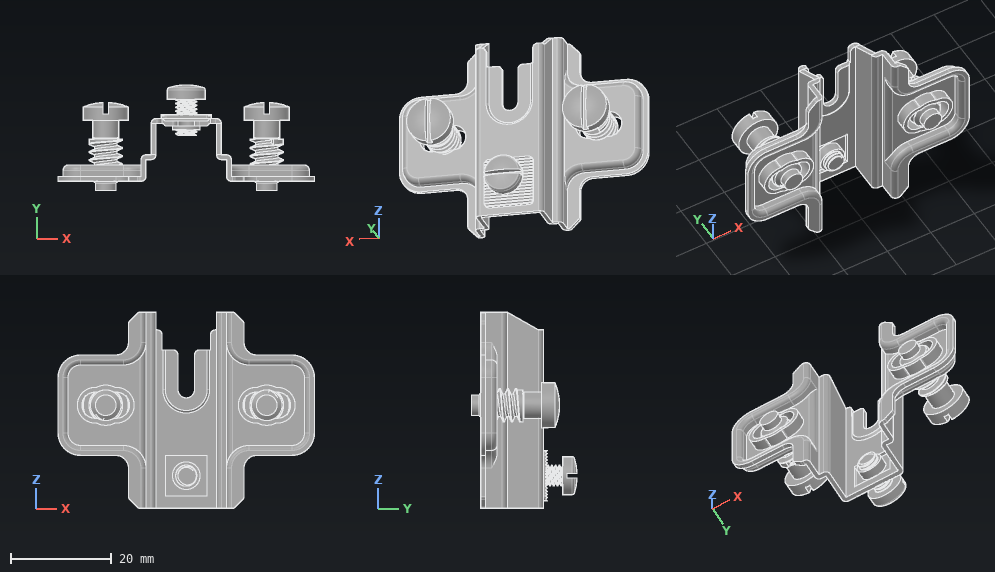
import cadquery as cq
import math

SHEET = 1.0
BEND = 1.0
Z_TOP = 18.5
Z_BOTTOM = -20.5
PLATE_LENGTH = Z_TOP - Z_BOTTOM

WING_REACH = 25.5
WING_HALF_HEIGHT = 10.0
STRIP_HALF_WIDTH = 11.5
WING_CORNER = 4.5
WING_ROOT = 2.5
STRIP_CHAMFER = 2.0
STRIP_CORNER = 0.8

LOWER_HALF = 9.0
STEP_Y = 5.3
UPPER_HALF = 7.0
WEB_Y = 12.5
WEB_INNER_Y = WEB_Y - SHEET
WEB_TOP_Z = 15.0

PANEL_MARGIN = 1.0
PANEL_TOP = 3.3
PANEL_FLOOR = PANEL_TOP - SHEET
PANEL_EDGE = 1.15
PANEL_REACH = WING_REACH - PANEL_MARGIN
PANEL_HALF_HEIGHT = WING_HALF_HEIGHT - PANEL_MARGIN
PANEL_CORNER = WING_CORNER - PANEL_MARGIN
PANEL_ROOT = 3.5

WING_SCREW_X = 16.0
SLOT_TRAVEL = 4.2
SLOT_RADIUS = 2.6
SLOT_SEAT_RADIUS = 3.05
SLOT_COLLAR_WALL = 0.95

TONGUE_TOP_Z = 11.0
TONGUE_CENTRE_Z = 3.1
TONGUE_RADIUS = 4.75
TONGUE_INNER_RADIUS = 4.65
TONGUE_SINK = 0.5
NOTCH_HALF_WIDTH = 4.8
FORK_RADIUS = 1.63
FORK_CORNER = 1.0

PAD_Z = -14.0
PAD_SIZE = 10.0
PAD_CORNER = 0.95
PAD_RISE = 0.75
PAD_RECESS_X = 8.2
PAD_RECESS_Z = 8.0
TOOTH_COUNT = 16
TOOTH_DEPTH = 0.3
PAD_COLLAR_RADIUS = 2.75
PAD_COLLAR_END_Y = 10.25

WING_TIP_Y = -1.85
WING_TIP_RADIUS = 2.05
WING_TAPER_START_Y = -0.3
WING_TAPER_END_Y = 0.4
WING_THREAD_RADIUS = 3.35
WING_ROOT_RADIUS = 2.25
WING_THREAD_END_Y = 8.4
WING_PITCH = 1.62
WING_RIDGE_WIDTH = 1.1
WING_CREST_WIDTH = 0.15
WING_RIDGE_START_Y = 0.6
WING_RUNOUT_Y = 7.15
WING_RUNOUT_ANGLE = -66.0
WING_RUNOUT_SWEEP = 245.0
WING_RUNOUT_RADIUS = 3.3
WING_SHANK_RADIUS = 2.6
WING_SHANK_Y = 8.63
WING_HEAD_RADIUS = 4.5
WING_HEAD_Y = 12.15
WING_HEAD_RIM_Y = 14.8
WING_HEAD_TOP_Y = 15.72
WING_SLOT_WIDTH = 1.0
WING_SLOT_DEPTH = 2.3

CENTRE_END_Y = 9.1
CENTRE_THREAD_RADIUS = 2.1
CENTRE_ROOT_RADIUS = 1.65
CENTRE_END_CHAMFER = 0.1
CENTRE_PITCH = 0.75
CENTRE_RIDGE_WIDTH = 0.55
CENTRE_CREST_WIDTH = 0.1
CENTRE_RIDGE_TOP_Y = 16.6
CENTRE_HEAD_RADIUS = 3.8
CENTRE_HEAD_Y = 16.3
CENTRE_HEAD_RIM_Y = 18.55
CENTRE_HEAD_TOP_Y = 19.205
CENTRE_HEAD_EDGE = 0.5
CENTRE_SLOT_WIDTH = 0.85
CENTRE_SLOT_DEPTH = 2.0

CLEAR = 2.0
RIDGE_SINK = 0.2


def box(x_range, y_range, z_range):
    """Box between the given limits."""
    limits = (x_range, y_range, z_range)
    sizes = [high - low for low, high in limits]
    return cq.Workplane("XY").box(*sizes, centered=False).translate([low for low, high in limits])


def along_y(sketch_z, y):
    """Workplane facing -Y, centred on (x = 0, z = sketch_z) at height y."""
    return cq.Workplane("XZ", origin=(0, y, sketch_z))


def cross_prism(strip_half, reach, half_height, corner, root, thickness, overshoot=0.0):
    """Cross of a long strip and two wings, from y = 0 to the thickness."""
    top = Z_TOP + overshoot
    bottom = Z_BOTTOM - overshoot
    strip = box((-strip_half, strip_half), (0, thickness), (bottom, top))
    wings = box((-reach, reach), (0, thickness), (-half_height, half_height))
    cross = strip.union(wings)
    mid = thickness / 2
    for x, radius in ((reach, corner), (strip_half, root)):
        for side_x in (-x, x):
            for z in (-half_height, half_height):
                nearest = cq.selectors.NearestToPointSelector((side_x, mid, z))
                cross = cross.edges("|Y").edges(nearest).fillet(radius)
    return cross


def base_plate():
    plate = cross_prism(STRIP_HALF_WIDTH, WING_REACH, WING_HALF_HEIGHT, WING_CORNER, WING_ROOT, SHEET)
    plate = plate.faces("<Z or >Z").edges("|Y").chamfer(STRIP_CHAMFER)
    inner_x = STRIP_HALF_WIDTH - STRIP_CHAMFER
    for x, inset in ((STRIP_HALF_WIDTH, STRIP_CHAMFER), (inner_x, 0)):
        for side_x in (-x, x):
            for z in (Z_BOTTOM + inset, Z_TOP - inset):
                nearest = cq.selectors.NearestToPointSelector((side_x, SHEET / 2, z))
                plate = plate.edges("|Y").edges(nearest).fillet(STRIP_CORNER)
    return plate


def hat_prism(lower_half, step_y, upper_half, top_y, bends):
    """Filled hat section over the full length, rounded at the given (x, y) bends."""
    lower = box((-lower_half, lower_half), (0, step_y), (Z_BOTTOM, Z_TOP))
    upper = box((-upper_half, upper_half), (0, top_y), (Z_BOTTOM, Z_TOP))
    hat = lower.union(upper)
    mid_z = (Z_TOP + Z_BOTTOM) / 2
    for x, y in bends:
        for side_x in (-x, x):
            nearest = cq.selectors.NearestToPointSelector((side_x, y, mid_z))
            hat = hat.edges("|Z").edges(nearest).fillet(BEND)
    return hat


def channel_outside():
    bends = ((LOWER_HALF, STEP_Y), (UPPER_HALF, WEB_Y))
    return hat_prism(LOWER_HALF, STEP_Y, UPPER_HALF, WEB_Y, bends)


def channel_inside():
    lower_half = LOWER_HALF - SHEET
    step_y = STEP_Y - SHEET
    upper_half = UPPER_HALF - SHEET
    return hat_prism(lower_half, step_y, upper_half, WEB_INNER_Y, ((upper_half, step_y),))


def raised_panels():
    panels = cross_prism(LOWER_HALF, PANEL_REACH, PANEL_HALF_HEIGHT, PANEL_CORNER, PANEL_ROOT, PANEL_TOP)
    return panels.faces(">Y").edges().fillet(PANEL_EDGE)


def panel_pocket(depth):
    """Mouth of the channel together with the hollows behind the panels."""
    return cross_prism(
        LOWER_HALF - SHEET,
        PANEL_REACH - SHEET,
        PANEL_HALF_HEIGHT - SHEET,
        PANEL_CORNER - SHEET,
        PANEL_ROOT + SHEET,
        depth,
        CLEAR,
    )


def mouth_rounding():
    """Material to remove so that the rear edge of the pocket becomes a bend."""
    wide_x = WING_REACH + CLEAR
    wide_z = (Z_BOTTOM - 2 * CLEAR, Z_TOP + 2 * CLEAR)
    depth = BEND + SHEET / 2
    block = box((-wide_x, wide_x), (0, depth), wide_z)
    inside = cq.selectors.BoxSelector(
        (-PANEL_REACH, -CLEAR, Z_BOTTOM - 1.5 * CLEAR),
        (PANEL_REACH, CLEAR, Z_TOP + 1.5 * CLEAR),
    )
    rounded = block.cut(panel_pocket(depth))
    rounded = rounded.faces("<Y").edges(inside).fillet(BEND)
    return block.cut(rounded)


def floor_rounding():
    """Material to remove where the panel floors bend into the channel walls."""
    wall = LOWER_HALF - SHEET
    radius = PANEL_EDGE
    corner = cq.Workplane("XY", origin=(0, 0, Z_BOTTOM)).polyline([
        (wall, PANEL_FLOOR),
        (wall + radius, PANEL_FLOOR),
        (wall + radius, PANEL_FLOOR + radius),
        (wall, PANEL_FLOOR + radius),
    ]).close().extrude(PLATE_LENGTH)
    rod = (
        cq.Workplane("XY", origin=(wall + radius, PANEL_FLOOR + radius, Z_BOTTOM))
        .circle(radius)
        .extrude(PLATE_LENGTH)
    )
    sliver = corner.cut(rod)
    return sliver.union(sliver.mirror("YZ")).intersect(panel_pocket(WEB_Y))


def slot_prism(x, growth, top_y):
    """Slot with a round seat in its middle, from y = 0 to top_y."""
    length = SLOT_TRAVEL + 2 * (SLOT_RADIUS + growth)
    plane = along_y(0, 0).center(x, 0)
    slot = plane.slot2D(length, 2 * (SLOT_RADIUS + growth)).extrude(-top_y)
    seat = plane.circle(SLOT_SEAT_RADIUS + growth).extrude(-top_y)
    return slot.union(seat)


def tongue_taper(radius, top_y):
    """U-shaped block tapering at 45 degrees from top_y down by the tongue's sink."""
    straight = WEB_TOP_Z - TONGUE_CENTRE_Z
    outline = (
        along_y(TONGUE_CENTRE_Z, top_y)
        .moveTo(-radius, straight)
        .lineTo(-radius, 0)
        .threePointArc((0, -radius), (radius, 0))
        .lineTo(radius, straight)
        .close()
    )
    return outline.extrude(TONGUE_SINK, taper=45)


def add_tongue(bracket):
    """Slope the wall ends, sink the tongue into the web and cut the fork."""
    slope = cq.Workplane("YZ", origin=(-WING_REACH, 0, 0)).polyline([
        (STEP_Y, Z_TOP),
        (WEB_INNER_Y, WEB_TOP_Z),
        (WEB_Y + CLEAR, WEB_TOP_Z),
        (WEB_Y + CLEAR, Z_TOP),
    ]).close().extrude(2 * WING_REACH)
    bracket = bracket.cut(slope)

    bracket = bracket.union(tongue_taper(TONGUE_INNER_RADIUS, WEB_INNER_Y))
    bracket = bracket.cut(tongue_taper(TONGUE_RADIUS, WEB_Y))

    web_range = (WEB_INNER_Y - CLEAR, WEB_Y + CLEAR)
    notch = box((-NOTCH_HALF_WIDTH, NOTCH_HALF_WIDTH), web_range, (TONGUE_TOP_Z, Z_TOP))
    fork_depth = WEB_Y - WEB_INNER_Y + 2 * CLEAR
    fork_end = along_y(TONGUE_CENTRE_Z, web_range[1]).circle(FORK_RADIUS).extrude(fork_depth)
    fork = box((-FORK_RADIUS, FORK_RADIUS), web_range, (TONGUE_CENTRE_Z, Z_TOP)).union(fork_end)
    bracket = bracket.cut(notch).cut(fork)

    web_mid = (WEB_Y + WEB_INNER_Y) / 2
    tongue_mid = web_mid - TONGUE_SINK
    for x, y, z in ((NOTCH_HALF_WIDTH, web_mid, WEB_TOP_Z), (FORK_RADIUS, tongue_mid, TONGUE_TOP_Z)):
        for side_x in (-x, x):
            nearest = cq.selectors.NearestToPointSelector((side_x, y, z))
            bracket = bracket.edges("|Y").edges(nearest).fillet(FORK_CORNER)
    return bracket


def add_pad(bracket):
    """Serrated square pressed out of the web, with a collar behind it."""
    top_y = WEB_Y + PAD_RISE
    pad = along_y(PAD_Z, top_y).rect(PAD_SIZE, PAD_SIZE).extrude(PAD_RISE).edges("|Y").fillet(PAD_CORNER)
    pitch = PAD_SIZE / TOOTH_COUNT
    for index in range(TOOTH_COUNT):
        z = PAD_Z - PAD_SIZE / 2 + (index + 0.5) * pitch
        valley = cq.Workplane("YZ", origin=(-PAD_SIZE, 0, 0)).polyline([
            (top_y, z - pitch / 2),
            (top_y - TOOTH_DEPTH, z),
            (top_y, z + pitch / 2),
        ]).close().extrude(2 * PAD_SIZE)
        pad = pad.cut(valley)
    recess = along_y(PAD_Z, WEB_INNER_Y).rect(PAD_RECESS_X, PAD_RECESS_Z).extrude(-PAD_RISE)
    recess_floor_y = WEB_INNER_Y + PAD_RISE
    collar_length = recess_floor_y - PAD_COLLAR_END_Y
    collar = along_y(PAD_Z, recess_floor_y).circle(PAD_COLLAR_RADIUS).extrude(collar_length)
    bore = along_y(PAD_Z, top_y).circle(CENTRE_THREAD_RADIUS).extrude(top_y - PAD_COLLAR_END_Y)
    return bracket.union(pad).cut(recess).union(collar).cut(bore)


def make_bracket():
    bracket = channel_outside().union(base_plate()).union(raised_panels())
    bracket = bracket.cut(channel_inside())
    bracket = bracket.cut(panel_pocket(PANEL_FLOOR)).cut(mouth_rounding()).cut(floor_rounding())
    for x in (-WING_SCREW_X, WING_SCREW_X):
        bracket = bracket.union(slot_prism(x, SLOT_COLLAR_WALL, PANEL_FLOOR))
        bracket = bracket.cut(slot_prism(x, 0, PANEL_TOP))
    bracket = add_tongue(bracket)
    return add_pad(bracket)



def turned(points):
    """Solid of revolution about Z from its (radius, height) outline."""
    return cq.Workplane("XZ").polyline(points).close().revolve(360, (0, 0, 0), (0, 1, 0))


def helix_sweep(section_points, pitch, radius, bottom, top, top_angle):
    """Right-handed helical sweep of a (radius, height) section, ending at top and top_angle."""
    height = top - bottom
    path = cq.Workplane(cq.Wire.makeHelix(pitch, height, radius))
    swept = cq.Workplane("XZ").polyline(section_points).close().sweep(path, isFrenet=True)
    start_angle = top_angle - 360 * height / pitch
    return swept.rotate((0, 0, 0), (0, 0, 1), start_angle).translate((0, 0, bottom))


def thread_ridge(pitch, crest_radius, root_radius, root_width, crest_width, bottom, top, top_angle):
    """Helical ridge that reaches a little into the core, so that it joins to it."""
    slope = (root_width - crest_width) / 2 / (crest_radius - root_radius)
    half_crest = crest_width / 2
    half_base = root_width / 2 + slope * RIDGE_SINK
    section = [
        (root_radius - RIDGE_SINK, -half_base),
        (crest_radius, -half_crest),
        (crest_radius, half_crest),
        (root_radius - RIDGE_SINK, half_base),
    ]
    return helix_sweep(section, pitch, root_radius, bottom, top, top_angle)


def domed_cap(radius, rim, top):
    """Spherical cap standing on a flat disc at the height rim."""
    rise = top - rim
    sphere_radius = (radius ** 2 + rise ** 2) / (2 * rise)
    half_radius = radius / 2
    half_height = top - sphere_radius + math.sqrt(sphere_radius ** 2 - half_radius ** 2)
    return (
        cq.Workplane("XZ")
        .moveTo(0, rim)
        .lineTo(radius, rim)
        .threePointArc((half_radius, half_height), (0, top))
        .close()
        .revolve(360, (0, 0, 0), (0, 1, 0))
    )


def laid_down(screw):
    """Turn a screw from the Z direction into the Y direction."""
    return screw.rotate((0, 0, 0), (1, 0, 0), -90)


def wing_thread():
    """Thread with a solid run-out at its upper end, turned down where it passes the panel."""
    ridge = thread_ridge(
        WING_PITCH, WING_THREAD_RADIUS, WING_ROOT_RADIUS, WING_RIDGE_WIDTH, WING_CREST_WIDTH,
        WING_RIDGE_START_Y, WING_RUNOUT_Y + WING_PITCH, WING_RUNOUT_ANGLE,
    )
    runout_section = [
        (WING_ROOT_RADIUS - 2 * RIDGE_SINK, 0),
        (WING_RUNOUT_RADIUS, 0),
        (WING_RUNOUT_RADIUS, WING_PITCH),
        (WING_ROOT_RADIUS - 2 * RIDGE_SINK, WING_PITCH),
    ]
    runout_top = WING_RUNOUT_Y + WING_PITCH * WING_RUNOUT_SWEEP / 360
    runout = helix_sweep(
        runout_section, WING_PITCH, WING_ROOT_RADIUS,
        WING_RUNOUT_Y, runout_top, WING_RUNOUT_ANGLE + WING_RUNOUT_SWEEP,
    )
    core = turned([
        (0, WING_TIP_Y),
        (WING_TIP_RADIUS, WING_TIP_Y),
        (WING_TIP_RADIUS, WING_TAPER_START_Y),
        (SLOT_SEAT_RADIUS, WING_TAPER_END_Y),
        (WING_ROOT_RADIUS, WING_TAPER_END_Y),
        (WING_ROOT_RADIUS, WING_HEAD_Y),
        (0, WING_HEAD_Y),
    ])
    envelope = turned([
        (0, WING_TIP_Y),
        (WING_TIP_RADIUS, WING_TIP_Y),
        (WING_TIP_RADIUS, WING_TAPER_START_Y),
        (SLOT_SEAT_RADIUS, WING_TAPER_END_Y),
        (SLOT_SEAT_RADIUS, PANEL_TOP),
        (WING_HEAD_RADIUS, PANEL_TOP),
        (WING_HEAD_RADIUS, WING_THREAD_END_Y),
        (0, WING_THREAD_END_Y),
    ])
    return core.union(ridge).union(runout).intersect(envelope)


def make_wing_screw():
    shank = turned([
        (0, WING_THREAD_END_Y),
        (WING_ROOT_RADIUS, WING_THREAD_END_Y),
        (WING_ROOT_RADIUS, WING_SHANK_Y),
        (WING_SHANK_RADIUS, WING_SHANK_Y),
        (WING_SHANK_RADIUS, WING_HEAD_Y),
        (WING_HEAD_RADIUS, WING_HEAD_Y),
        (WING_HEAD_RADIUS, WING_HEAD_RIM_Y),
        (0, WING_HEAD_RIM_Y),
    ])
    screw = wing_thread().union(shank)
    screw = screw.union(domed_cap(WING_HEAD_RADIUS, WING_HEAD_RIM_Y, WING_HEAD_TOP_Y))
    half_slot = WING_SLOT_WIDTH / 2
    slot_bottom = WING_HEAD_TOP_Y - WING_SLOT_DEPTH
    slot = box(
        (-half_slot, half_slot),
        (-WING_HEAD_RADIUS, WING_HEAD_RADIUS),
        (slot_bottom, WING_HEAD_TOP_Y),
    )
    return laid_down(screw.cut(slot))


def centre_thread():
    core = turned([
        (0, CENTRE_END_Y - CLEAR),
        (CENTRE_ROOT_RADIUS, CENTRE_END_Y - CLEAR),
        (CENTRE_ROOT_RADIUS, CENTRE_HEAD_TOP_Y),
        (0, CENTRE_HEAD_TOP_Y),
    ])
    ridge = thread_ridge(
        CENTRE_PITCH, CENTRE_THREAD_RADIUS, CENTRE_ROOT_RADIUS, CENTRE_RIDGE_WIDTH, CENTRE_CREST_WIDTH,
        CENTRE_END_Y - CENTRE_PITCH, CENTRE_RIDGE_TOP_Y, 0,
    )
    envelope = turned([
        (0, CENTRE_END_Y),
        (CENTRE_THREAD_RADIUS - CENTRE_END_CHAMFER, CENTRE_END_Y),
        (CENTRE_HEAD_RADIUS, CENTRE_END_Y + CENTRE_HEAD_RADIUS - CENTRE_THREAD_RADIUS + CENTRE_END_CHAMFER),
        (CENTRE_HEAD_RADIUS, CENTRE_HEAD_Y),
        (0, CENTRE_HEAD_Y),
    ])
    return core.union(ridge).intersect(envelope)


def make_centre_screw():
    head = turned([
        (0, CENTRE_HEAD_Y),
        (CENTRE_HEAD_RADIUS, CENTRE_HEAD_Y),
        (CENTRE_HEAD_RADIUS, CENTRE_HEAD_RIM_Y),
        (0, CENTRE_HEAD_RIM_Y),
    ])
    head = head.union(domed_cap(CENTRE_HEAD_RADIUS, CENTRE_HEAD_RIM_Y, CENTRE_HEAD_TOP_Y))
    rim = cq.selectors.NearestToPointSelector((0, 0, CENTRE_HEAD_RIM_Y))
    head = head.edges("%CIRCLE").edges(rim).fillet(CENTRE_HEAD_EDGE)
    half_slot = CENTRE_SLOT_WIDTH / 2
    slot_bottom = CENTRE_HEAD_TOP_Y - CENTRE_SLOT_DEPTH
    slot = box(
        (-CENTRE_HEAD_RADIUS, CENTRE_HEAD_RADIUS),
        (-half_slot, half_slot),
        (slot_bottom, CENTRE_HEAD_TOP_Y),
    )
    screw = centre_thread().union(head.cut(slot))
    return laid_down(screw).translate((0, 0, PAD_Z))


bracket = make_bracket()
wing_screw = make_wing_screw()
wing_screws = []
for x, turn in ((WING_SCREW_X, 0), (-WING_SCREW_X, 180)):
    placed = wing_screw.rotate((0, 0, 0), (0, 1, 0), turn).translate((x, 0, 0))
    wing_screws.append(placed.val())
centre_screw = make_centre_screw()

result = cq.Compound.makeCompound([bracket.val(), *wing_screws, centre_screw.val()])